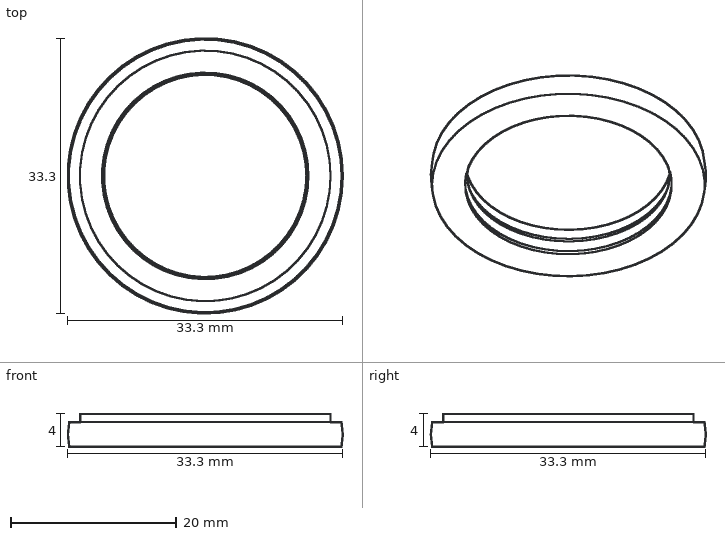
import cadquery as cq

outer_radius = 16.65
height = 4.0
bore_radius = 12.5

rim_height = 3.0
rim_taper = 0.15
crown_z = rim_height / 2
rim_edge_radius = outer_radius - rim_taper

shoulder_radius = 15.15

seal_section_radius = 0.75
seal_inner_radius = 12.22
seal_center_radius = seal_inner_radius + seal_section_radius
seal_z = crown_z
groove_radius = seal_center_radius + seal_section_radius
groove_width = 2.0
groove_bottom_z = seal_z - groove_width / 2
groove_top_z = seal_z + groove_width / 2


def make_housing():
    """Revolve the stepped, crowned ring with its internal seal groove."""
    profile = (
        cq.Workplane("XZ")
        .moveTo(bore_radius, 0)
        .lineTo(rim_edge_radius, 0)
        .lineTo(outer_radius, crown_z)
        .lineTo(rim_edge_radius, rim_height)
        .lineTo(shoulder_radius, rim_height)
        .lineTo(shoulder_radius, height)
        .lineTo(bore_radius, height)
        .lineTo(bore_radius, groove_top_z)
        .lineTo(groove_radius, groove_top_z)
        .lineTo(groove_radius, groove_bottom_z)
        .lineTo(bore_radius, groove_bottom_z)
        .close()
    )
    return profile.revolve(360, (0, 0, 0), (0, 1, 0))


def make_seal():
    """Make the round-section ring that rests against the groove wall."""
    torus = cq.Solid.makeTorus(seal_center_radius, seal_section_radius)
    return torus.translate(cq.Vector(0, 0, seal_z))


housing = make_housing()
seal = make_seal()

result = cq.Compound.makeCompound([housing.val(), seal])